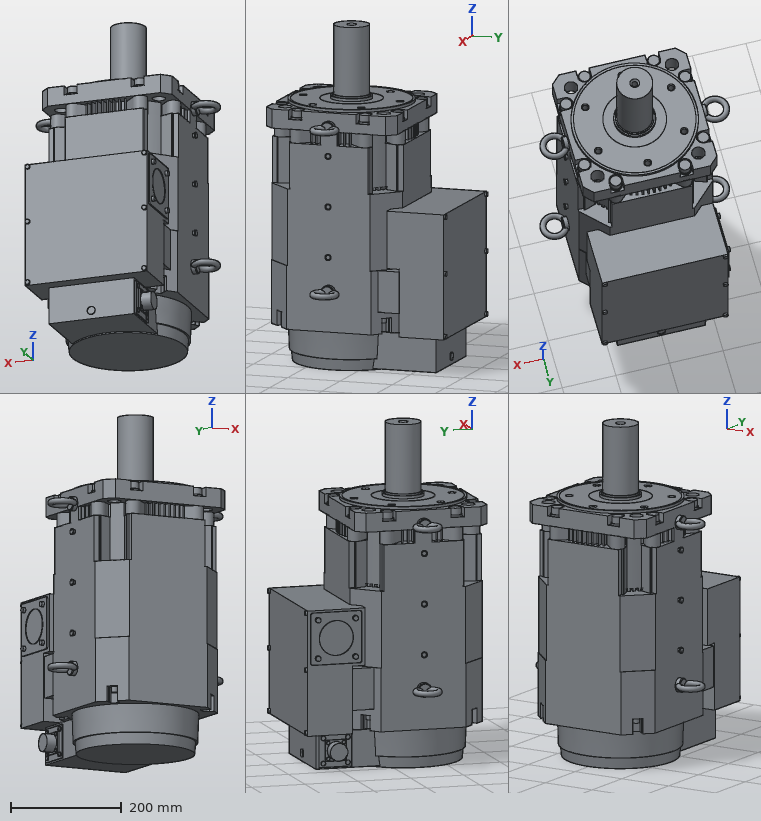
import cadquery as cq
import math


SHAFT_TOP = 140.0
PILOT_TOP = 5.0
FLANGE_BOTTOM = -35.0
BODY_TOP = -60.0
VENT_FLOOR = -145.0
BODY_BOTTOM = -286.0
REAR_BAND_SPLIT = -323.0
END_FRAME_TOP = -366.0
BODY_END = -403.0
COVER_STEP = -455.0
BASE = -476.0

HALF_WIDTH = 125.0
FLANGE_CHAMFER = 16.5
BODY_CHAMFER = 46.0
BAND_CHAMFER = 44.5
END_FRAME_REAR_TRIM = 2.0

SHAFT_RADIUS = 32.5
NECK_RADIUS = 35.0
NECK_TOP = 13.0
COLLAR_RADIUS = 38.0
COLLAR_TOP = 10.0
CENTRE_HOLE_RADIUS = 5.1
CENTRE_SINK_RADIUS = 8.7
CENTRE_HOLE_DEPTH = 30.0
PILOT_RADIUS = 115.0
PILOT_RIM_WIDTH = 4.5
HUB_RADIUS = 57.5
FACE_STEP = 0.6

MOUNT_HOLE_OFFSET = 94.0
MOUNT_HOLE_RADIUS = 12.0
TAP_COUNT = 6
TAP_CIRCLE_RADIUS = 92.5
TAP_RADIUS = 5.1
TAP_SINK_RADIUS = 7.0
TAP_DEPTH = 25.0
BOLT_SIDE = 64.5
BOLT_OUT = 111.0
BOLT_POCKET_RADIUS = 12.4
BOLT_POCKET_DEPTH = 17.0
WASHER_RADIUS = 12.0
WASHER_THICKNESS = 3.5
BOLT_HEAD_RADIUS = 10.5
BOLT_HEAD_DROP = 1.0
BOSS_RADIUS = 13.4

FIN_THICKNESS = 3.0
FIN_OUT = 121.0
FIN_PITCH_ANGLE = 5.1
FINS_PER_SIDE = 8
CORE_RADIUS = 105.0
WEB_INNER = 60.0
CORNER_WALL_HALF_WIDTH = 13.0
PAD_HALF_WIDTH = 16.0

VENT_EDGE = 75.0
VENT_LIP_DEPTH = 10.0
VENT_RIB = (113.0, 79.0)
VENT_WALL_END = (95.5, 73.0)
VENT_FLOOR_END = (90.0, 71.0)
WINDOW_COUNT = 4
WINDOW_PITCH = 9.8
WINDOW_WIDTH = 5.0
WINDOW_HEIGHT = 5.0
WINDOW_REACH = 12.0

NOTCH_TOP = -375.0
NOTCH_WIDTH = 19.0
NOTCH_DEPTH = 8.5
NOTCH_INNER_WIDTH = 16.0
NOTCH_INNER_DEPTH = 20.0
NOTCH_BOLT_RADIUS = 6.0
NOTCH_BOLT_LENGTH = 10.0

COVER_RADII = (114.5, 112.5)
COVER_END_RADII = (109.0, 107.0)

SIDE_SCREW_LEVELS = (-79.0, -172.0, -265.0)
SIDE_SCREW_RADIUS = 5.5
SIDE_SCREW_NECK = 4.0
SIDE_SCREW_LENGTH = 6.0
SIDE_SCREW_HEAD = 2.0
EYE_LEVELS = (-28.0, -329.6)
EYE_REACH = 351.95 / 2
EYE_TUBE = 5.5
EYE_RING = 20.9
EYE_COLLAR_RADIUS = 13.0
EYE_COLLAR_LENGTH = 9.5
EYE_COLLAR_CHAMFER = 1.5

TBOX_HALF_WIDTH = 117.5
TBOX_TOP = -175.0
TBOX_STEP = -280.5
TBOX_BOTTOM = -405.0
TBOX_UPPER_FRONT = 108.0
TBOX_LOWER_FRONT = 131.5
TBOX_BACK = 213.5
LID_BACK = 216.5
TBOX_REACH = 220.0
LID_SCREW_X = 112.5
LID_SCREW_LEVELS = (-179.5, -284.0, -399.5)
LID_SCREW_RADIUS = 4.3
SADDLE_HALF_WIDTH = 115.0
SADDLE_FRONT = 89.5
SADDLE_BOTTOM = -362.5

PLATE_CENTRE = (163.0, -226.8)
PLATE_SIZE = 96.0
PLATE_THICKNESS = 2.8
PLATE_CORNER = 4.0
PLATE_OPENING_RADIUS = 32.0
PLATE_OPENING_DEPTH = 1.5
PLATE_SCREW_OFFSET = 35.3
PLATE_SCREW_RADIUS = 4.8
PLATE_SCREW_HEIGHT = 5.2

EBOX_HALF_WIDTH = 82.0
EBOX_BACK = 190.0
EBOX_NECK_BACK = 130.0
EBOX_BOTTOM = -473.5
EBOX_PLUG_RADIUS = 7.5
EBOX_PLUG_LEVEL = -458.0
EBOX_PLUG_HEIGHT = 1.8

ECON_CENTRE = (153.8, -439.7)
ECON_PLATE = 61.5
ECON_PLATE_THICKNESS = 2.5
ECON_FLANGE = 39.0
ECON_FLANGE_THICKNESS = 3.0
ECON_RADIUS = 16.5
ECON_LENGTH = 25.0
ECON_SCREWS = ((23.2, 4.3), (14.7, 3.2))
ECON_SCREW_HEIGHT = 2.0

OVERLAP = 1.0

FRONT_LEFT_DIAGONAL = 225.0


def block(x_span, y_span, z_span):
    """Axis-aligned box from three (low, high) spans."""
    lows, highs = zip(x_span, y_span, z_span)
    sizes = [high - low for low, high in zip(lows, highs)]
    return cq.Workplane("XY").box(*sizes, centered=False).translate(lows)


def cylinder(radius, start, direction, length):
    """Solid cylinder from a start point along a direction."""
    solid = cq.Solid.makeCylinder(radius, length, cq.Vector(*start), cq.Vector(*direction))
    return cq.Workplane(obj=solid)


def upright(radius, low, high, x=0.0, y=0.0):
    """Solid cylinder parallel to Z."""
    return cylinder(radius, (x, y, low), (0, 0, 1), high - low)


def octagonal_prism(chamfer, low, high):
    """Square prism with chamfered vertical edges."""
    side = 2 * HALF_WIDTH
    prism = cq.Workplane("XY").workplane(offset=low).rect(side, side).extrude(high - low)
    return prism.edges("|Z").chamfer(chamfer)


def cone(low_radius, high_radius, low, high):
    """Truncated cone about the Z axis."""
    solid = cq.Solid.makeCone(low_radius, high_radius, high - low, cq.Vector(0, 0, low))
    return cq.Workplane(obj=solid)


def turn(shape, angle):
    """The shape rotated about the Z axis."""
    return shape.rotate((0, 0, 0), (0, 0, 1), angle)


def quarter_turns(shape):
    """The shape repeated at the four sides or corners."""
    turned = [turn(shape, 90 * quarter) for quarter in range(4)]
    return turned[0].add(turned[1]).add(turned[2]).add(turned[3]).combine()


def both_x_sides(shape):
    """The shape and its mirror image across the YZ plane."""
    return shape.union(shape.mirror("YZ"))


def bolt_places():
    """Centres of the eight flange bolts."""
    for sign_a in (-1, 1):
        for sign_b in (-1, 1):
            yield sign_a * BOLT_SIDE, sign_b * BOLT_OUT
            yield sign_a * BOLT_OUT, sign_b * BOLT_SIDE


def bolt_pocket():
    """Slot that opens through the -Y edge of the flange."""
    depth_span = (-BOLT_POCKET_DEPTH, OVERLAP)
    pocket = upright(BOLT_POCKET_RADIUS, *depth_span, x=BOLT_SIDE, y=-BOLT_OUT)
    x_span = (BOLT_SIDE - BOLT_POCKET_RADIUS, BOLT_SIDE + BOLT_POCKET_RADIUS)
    pocket = pocket.union(block(x_span, (-HALF_WIDTH - OVERLAP, -BOLT_OUT), depth_span))
    return both_x_sides(pocket)


def make_flange():
    flange = octagonal_prism(FLANGE_CHAMFER, FLANGE_BOTTOM, 0)
    flange = flange.cut(quarter_turns(bolt_pocket()))
    for x, y in bolt_places():
        washer_top = WASHER_THICKNESS - BOLT_POCKET_DEPTH
        flange = flange.union(upright(WASHER_RADIUS, -BOLT_POCKET_DEPTH - OVERLAP, washer_top, x, y))
        flange = flange.union(upright(BOLT_HEAD_RADIUS, -BOLT_POCKET_DEPTH, -BOLT_HEAD_DROP, x, y))
    hole = upright(MOUNT_HOLE_RADIUS, FLANGE_BOTTOM, 0, MOUNT_HOLE_OFFSET, MOUNT_HOLE_OFFSET)
    flange = flange.cut(quarter_turns(hole))

    pilot = upright(PILOT_RADIUS, -OVERLAP, PILOT_TOP)
    recess_floor = PILOT_TOP - FACE_STEP
    pilot = pilot.cut(upright(PILOT_RADIUS - PILOT_RIM_WIDTH, recess_floor, PILOT_TOP))
    pilot = pilot.union(upright(HUB_RADIUS, 0, PILOT_TOP))
    return flange.union(pilot)


def drilled_hole(radius, sink_radius, depth, top, x=0.0, y=0.0):
    """Blind hole with a 90 degree countersink."""
    sink_depth = sink_radius - radius
    sink = cone(radius, sink_radius, top - sink_depth, top).translate((x, y, 0))
    return upright(radius, top - depth, top, x, y).union(sink)


def cut_tapped_holes(motor):
    top = PILOT_TOP - FACE_STEP
    for index in range(TAP_COUNT):
        angle = math.radians(90 + index * 360 / TAP_COUNT)
        x = TAP_CIRCLE_RADIUS * math.cos(angle)
        y = TAP_CIRCLE_RADIUS * math.sin(angle)
        hole = drilled_hole(TAP_RADIUS, TAP_SINK_RADIUS, TAP_DEPTH, top, x, y)
        motor = motor.cut(hole, clean=False)
    return motor


def make_shaft():
    shaft = upright(COLLAR_RADIUS, 0, COLLAR_TOP)
    shaft = shaft.union(upright(NECK_RADIUS, 0, NECK_TOP))
    shaft = shaft.union(upright(SHAFT_RADIUS, 0, SHAFT_TOP))
    return shaft.cut(drilled_hole(CENTRE_HOLE_RADIUS, CENTRE_SINK_RADIUS, CENTRE_HOLE_DEPTH, SHAFT_TOP))


def radial_fins():
    """Fan of upright fins on the -Y side of the core."""
    z_span = (BODY_TOP, FLANGE_BOTTOM)
    fin = block((-FIN_THICKNESS / 2, FIN_THICKNESS / 2), (-FIN_OUT, 0), z_span)
    fins = cq.Workplane("XY")
    for index in range(FINS_PER_SIDE):
        angle = (index - (FINS_PER_SIDE - 1) / 2) * FIN_PITCH_ANGLE
        fins = fins.add(turn(fin, angle))
    return fins.combine()


def corner_wall():
    """Wall at the (-X, -Y) corner of the core, with two bolt bosses webbed back along the diagonal."""
    z_span = (BODY_TOP, FLANGE_BOTTOM)
    wall = upright(math.hypot(*VENT_FLOOR_END), *z_span)
    strip = (-CORNER_WALL_HALF_WIDTH, CORNER_WALL_HALF_WIDTH)
    wall = wall.intersect(block((0, HALF_WIDTH), strip, z_span))
    along = (BOLT_OUT + BOLT_SIDE) / math.sqrt(2)
    across = (BOLT_OUT - BOLT_SIDE) / math.sqrt(2)
    for side in (-across, across):
        wall = wall.union(upright(BOSS_RADIUS, *z_span, x=along, y=side))
        web = block((WEB_INNER, along), (side - BOSS_RADIUS, side + BOSS_RADIUS), z_span)
        wall = wall.union(web)
    return turn(wall, FRONT_LEFT_DIAGONAL)


def make_core():
    z_span = (BODY_TOP, FLANGE_BOTTOM)
    core = upright(CORE_RADIUS, *z_span)
    core = core.union(quarter_turns(corner_wall())).union(quarter_turns(radial_fins()))
    pad = block((-HALF_WIDTH, HALF_WIDTH), (-PAD_HALF_WIDTH, PAD_HALF_WIDTH), z_span)
    return core.union(pad)


def corner_vent():
    """Air vent recess at the (-X, -Y) corner, symmetric about the diagonal."""
    lip = (HALF_WIDTH - VENT_LIP_DEPTH, VENT_EDGE)
    outer = (HALF_WIDTH + OVERLAP, VENT_EDGE)
    half = [outer, lip, (lip[0], VENT_RIB[1]), VENT_RIB, VENT_WALL_END, VENT_FLOOR_END]
    half = [(-a, -b) for a, b in half]
    other_half = [(b, a) for a, b in reversed(half)]
    corner = (-HALF_WIDTH - OVERLAP, -HALF_WIDTH - OVERLAP)
    crown = -math.hypot(*VENT_FLOOR_END) / math.sqrt(2)

    outline = cq.Workplane("XY").workplane(offset=VENT_FLOOR).polyline(half)
    outline = outline.threePointArc((crown, crown), other_half[0])
    for point in other_half[1:] + [corner]:
        outline = outline.lineTo(*point)
    return outline.close().extrude(BODY_TOP - VENT_FLOOR)


def vent_windows():
    """Row of low openings at the foot of the vent wall at the (-X, -Y) corner."""
    floor_radius = math.hypot(*VENT_FLOOR_END)
    windows = cq.Workplane("XY")
    for index in range(WINDOW_COUNT):
        middle = (index - (WINDOW_COUNT - 1) / 2) * WINDOW_PITCH
        y_span = (middle - WINDOW_WIDTH / 2, middle + WINDOW_WIDTH / 2)
        x_span = (floor_radius - WINDOW_REACH, floor_radius + OVERLAP)
        windows = windows.add(block(x_span, y_span, (VENT_FLOOR, VENT_FLOOR + WINDOW_HEIGHT)))
    return turn(windows.combine(), FRONT_LEFT_DIAGONAL)


def corner_notch():
    """Stepped notch at the (-X, -Y) corner of the end frame, with its bolt left standing."""
    face = math.sqrt(2) * (HALF_WIDTH - BAND_CHAMFER / 2)
    z_span = (BODY_END, NOTCH_TOP)
    mouth_span = (-NOTCH_WIDTH / 2, NOTCH_WIDTH / 2)
    mouth = block((face - NOTCH_DEPTH, face + OVERLAP), mouth_span, z_span)
    inner_span = (-NOTCH_INNER_WIDTH / 2, NOTCH_INNER_WIDTH / 2)
    inner = block((face - NOTCH_INNER_DEPTH, face), inner_span, z_span)
    bolt_x = face - NOTCH_DEPTH - NOTCH_BOLT_RADIUS
    bolt = upright(NOTCH_BOLT_RADIUS, NOTCH_TOP - NOTCH_BOLT_LENGTH, NOTCH_TOP, bolt_x)
    return turn(mouth.union(inner).cut(bolt), FRONT_LEFT_DIAGONAL)


def make_body():
    body = octagonal_prism(BODY_CHAMFER, BODY_BOTTOM, VENT_FLOOR)
    upper = octagonal_prism(FLANGE_CHAMFER, VENT_FLOOR, BODY_TOP)
    return body.union(upper.cut(quarter_turns(corner_vent()))).cut(quarter_turns(vent_windows()))


def make_end_frame():
    end_frame = octagonal_prism(BAND_CHAMFER, BODY_END, END_FRAME_TOP)
    trim = block(
        (-HALF_WIDTH, HALF_WIDTH),
        (HALF_WIDTH - END_FRAME_REAR_TRIM, HALF_WIDTH),
        (BODY_END, END_FRAME_TOP),
    )
    return end_frame.cut(trim).cut(quarter_turns(corner_notch()))


def make_rear_bands():
    """Two stacked bands with the saddle that carries the terminal box."""
    bands = []
    for low, high in ((REAR_BAND_SPLIT, BODY_BOTTOM), (END_FRAME_TOP, REAR_BAND_SPLIT)):
        saddle = block(
            (-SADDLE_HALF_WIDTH, SADDLE_HALF_WIDTH),
            (SADDLE_FRONT, TBOX_LOWER_FRONT),
            (max(low, SADDLE_BOTTOM), high),
        )
        bands.append(octagonal_prism(BAND_CHAMFER, low, high).union(saddle))
    return bands


def make_rear_cover():
    cover = cone(COVER_RADII[1], COVER_RADII[0], COVER_STEP, BODY_END)
    return cover.union(cone(COVER_END_RADII[1], COVER_END_RADII[0], BASE, COVER_STEP))


def side_screw(level):
    """Headed screw on the -X side."""
    reach = HALF_WIDTH + SIDE_SCREW_LENGTH
    neck = cylinder(SIDE_SCREW_NECK, (-reach, 0, level), (1, 0, 0), SIDE_SCREW_LENGTH + OVERLAP)
    return neck.union(cylinder(SIDE_SCREW_RADIUS, (-reach, 0, level), (1, 0, 0), SIDE_SCREW_HEAD))


def eyebolt(level):
    """Lifting eyebolt on the -X side with its ring lying flat."""
    collar_start = (-HALF_WIDTH - EYE_COLLAR_LENGTH, 0, level)
    collar = cylinder(EYE_COLLAR_RADIUS, collar_start, (1, 0, 0), EYE_COLLAR_LENGTH + OVERLAP)
    collar = collar.faces("<X").chamfer(EYE_COLLAR_CHAMFER)
    ring_x = -EYE_REACH + EYE_RING + EYE_TUBE
    ring = cq.Solid.makeTorus(EYE_RING, EYE_TUBE, cq.Vector(ring_x, 0, level))
    return collar.union(cq.Workplane(obj=ring))


def make_terminal_box():
    x_span = (-TBOX_HALF_WIDTH, TBOX_HALF_WIDTH)
    box = block(x_span, (TBOX_UPPER_FRONT, TBOX_BACK), (TBOX_STEP, TBOX_TOP))
    box = box.union(block(x_span, (TBOX_LOWER_FRONT, TBOX_BACK), (TBOX_BOTTOM, TBOX_TOP)))
    lid = block(x_span, (TBOX_BACK, LID_BACK), (TBOX_BOTTOM, TBOX_TOP))
    for level in LID_SCREW_LEVELS:
        start = (-LID_SCREW_X, TBOX_BACK, level)
        screw = cylinder(LID_SCREW_RADIUS, start, (0, 1, 0), TBOX_REACH - TBOX_BACK)
        lid = lid.union(both_x_sides(screw))
    return box.union(make_power_plate()).union(lid, clean=False)


def square_plate(centre, size, face_x, thickness):
    """Square plate standing out toward -X from a face."""
    half = size / 2
    y_span = (centre[0] - half, centre[0] + half)
    z_span = (centre[1] - half, centre[1] + half)
    return block((face_x - thickness, face_x), y_span, z_span)


def four_screws(centre, offset, face_x, radius, height):
    """Four screw heads around a centre, standing out toward -X from a face."""
    screws = cq.Workplane("XY")
    for sign_y in (-1, 1):
        for sign_z in (-1, 1):
            start = (face_x, centre[0] + sign_y * offset, centre[1] + sign_z * offset)
            screws = screws.add(cylinder(radius, start, (-1, 0, 0), height))
    return screws.combine()


def make_power_plate():
    plate = square_plate(PLATE_CENTRE, PLATE_SIZE, -TBOX_HALF_WIDTH, PLATE_THICKNESS)
    plate = plate.edges("|X").fillet(PLATE_CORNER)
    face_x = -TBOX_HALF_WIDTH - PLATE_THICKNESS
    opening = cylinder(PLATE_OPENING_RADIUS, (face_x, *PLATE_CENTRE), (1, 0, 0), PLATE_OPENING_DEPTH)
    screws = four_screws(PLATE_CENTRE, PLATE_SCREW_OFFSET, face_x, PLATE_SCREW_RADIUS, PLATE_SCREW_HEIGHT)
    return plate.cut(opening).union(screws)


def make_encoder_box():
    x_span = (-EBOX_HALF_WIDTH, EBOX_HALF_WIDTH)
    box = block(x_span, (0, EBOX_BACK), (EBOX_BOTTOM, TBOX_BOTTOM))
    neck_front = HALF_WIDTH - END_FRAME_REAR_TRIM
    box = box.union(block(x_span, (neck_front, EBOX_NECK_BACK), (TBOX_BOTTOM, END_FRAME_TOP)))
    plug_start = (0, EBOX_BACK, EBOX_PLUG_LEVEL)
    box = box.union(cylinder(EBOX_PLUG_RADIUS, plug_start, (0, 1, 0), EBOX_PLUG_HEIGHT))
    return box.union(make_encoder_connector())


def make_encoder_connector():
    plate_face = -EBOX_HALF_WIDTH - ECON_PLATE_THICKNESS
    flange_face = plate_face - ECON_FLANGE_THICKNESS
    connector = square_plate(ECON_CENTRE, ECON_PLATE, -EBOX_HALF_WIDTH, ECON_PLATE_THICKNESS)
    connector = connector.union(square_plate(ECON_CENTRE, ECON_FLANGE, plate_face, ECON_FLANGE_THICKNESS))
    for face_x, (offset, radius) in zip((plate_face, flange_face), ECON_SCREWS):
        screws = four_screws(ECON_CENTRE, offset, face_x, radius, ECON_SCREW_HEIGHT)
        connector = connector.union(screws)
    start = (-EBOX_HALF_WIDTH, *ECON_CENTRE)
    return connector.union(cylinder(ECON_RADIUS, start, (-1, 0, 0), ECON_LENGTH))


def make_motor():
    parts = [make_shaft(), make_core(), make_body(), make_end_frame(), *make_rear_bands()]
    parts += [make_rear_cover(), make_encoder_box(), make_terminal_box()]
    parts += [both_x_sides(side_screw(level)) for level in SIDE_SCREW_LEVELS]
    parts += [both_x_sides(eyebolt(level)) for level in EYE_LEVELS]
    motor = make_flange()
    for part in parts:
        motor = motor.union(part, clean=False)
    return cut_tapped_holes(motor)


result = make_motor()